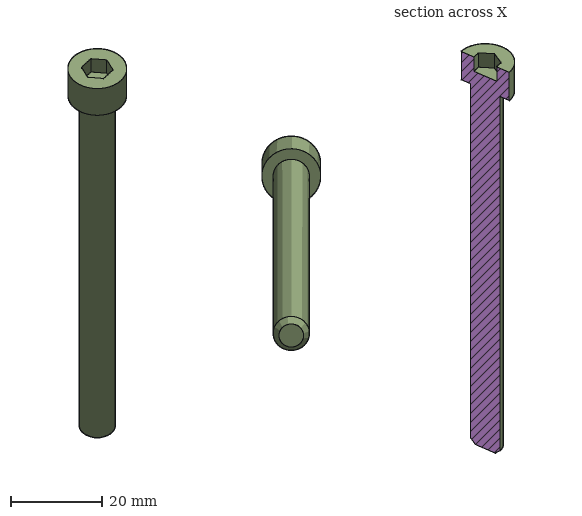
import cadquery as cq
import math

total_length = 108.0
head_diameter = 13.0
shank_diameter = 8.0
head_height = shank_diameter
shank_length = total_length - head_height

tip_chamfer = 1.3

socket_across_flats = 6.0
socket_across_corners = socket_across_flats / math.cos(math.pi / 6)
socket_depth = 4.0


def make_head():
    head = cq.Workplane("XY").circle(head_diameter / 2).extrude(head_height)
    socket = (
        cq.Workplane("XY", origin=(0, 0, head_height))
        .polygon(6, socket_across_corners)
        .extrude(-socket_depth)
    )
    return head.cut(socket)


def make_shank():
    shank = cq.Workplane("XY").circle(shank_diameter / 2).extrude(-shank_length)
    return shank.faces("<Z").chamfer(tip_chamfer)


result = make_head().union(make_shank())